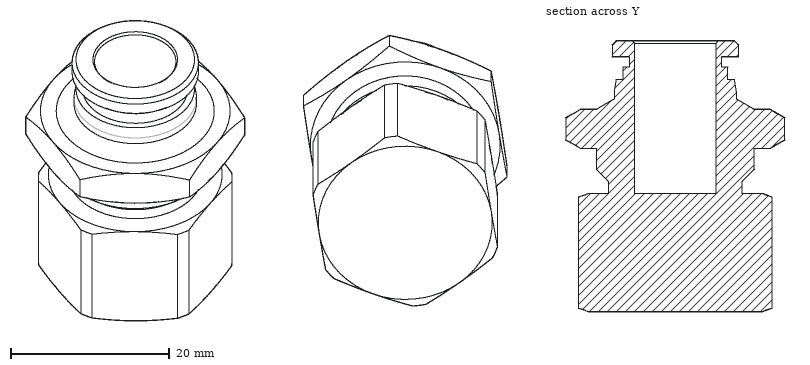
import cadquery as cq
import math

HEX_SIDES = 6

BODY_HEX_FLATS = 22.0
BODY_CORNER_RADIUS = 12.25
BODY_HEX_HEIGHT = 15.0
BODY_CHAMFER_ANGLE = 20.0

NUT_FLATS = 24.0
NUT_THICKNESS = 5.0
NUT_BOTTOM = 20.65
NUT_TOP = NUT_BOTTOM + NUT_THICKNESS
NUT_CHAMFER_ANGLE = 30.0

NECK_RADIUS = 8.5
NECK_TOP = 16.5
BARREL_RADIUS = 10.0
BARREL_CONE_TOP = NECK_TOP + BARREL_RADIUS - NECK_RADIUS
COLLAR_RADIUS = 7.75
COLLAR_BOTTOM = 26.95
COLLAR_STRAIGHT_TOP = 27.9
COLLAR_TIP_RADIUS = 7.5
COLLAR_TOP = 29.4

GUIDE_RADIUS = 6.65
GUIDE_TOP = 31.0
SLEEVE_RADIUS = 5.85
FLANGE_RADIUS = 8.0
FLANGE_BOTTOM = 32.25
FLANGE_CHAMFER = 0.5
TOTAL_HEIGHT = 34.3

BORE_RADIUS = 5.15
BORE_CHAMFER_WIDTH = 0.2
BORE_CHAMFER_DEPTH = 0.35
BORE_BOTTOM = BODY_HEX_HEIGHT


def revolve_profile(points):
    """Revolve a closed (radius, height) outline about the Z axis."""
    return cq.Workplane("XZ").polyline(points).close().revolve(360, (0, 0), (0, 1))


def hexagon_corner_radius(flats):
    """Distance from the centre of a hexagon to its sharp corners."""
    return flats / 2 / math.cos(math.pi / HEX_SIDES)


def chamfered_hexagon(flats, outer_radius, bottom, height, chamfer_angle):
    """Hexagonal prism with corners on the X axis, trimmed by a cylinder with conical ends.

    The cones start at the circle inscribed in the end faces.
    """
    inner_radius = flats / 2
    corner_radius = hexagon_corner_radius(flats)
    drop = (outer_radius - inner_radius) * math.tan(math.radians(chamfer_angle))
    top = bottom + height
    base_plane = cq.Workplane("XY").workplane(offset=bottom)
    prism = base_plane.polygon(HEX_SIDES, 2 * corner_radius).extrude(height)
    envelope = revolve_profile([
        (0, bottom),
        (inner_radius, bottom),
        (outer_radius, bottom + drop),
        (outer_radius, top - drop),
        (inner_radius, top),
        (0, top),
    ])
    return prism.intersect(envelope)


def turned_core():
    """All round surfaces from the hexagon body up to the release sleeve flange."""
    return revolve_profile([
        (0, 0),
        (NECK_RADIUS, 0),
        (NECK_RADIUS, NECK_TOP),
        (BARREL_RADIUS, BARREL_CONE_TOP),
        (BARREL_RADIUS, NUT_TOP),
        (COLLAR_RADIUS, COLLAR_BOTTOM),
        (COLLAR_RADIUS, COLLAR_STRAIGHT_TOP),
        (COLLAR_TIP_RADIUS, COLLAR_TOP),
        (GUIDE_RADIUS, COLLAR_TOP),
        (GUIDE_RADIUS, GUIDE_TOP),
        (SLEEVE_RADIUS, GUIDE_TOP),
        (SLEEVE_RADIUS, FLANGE_BOTTOM),
        (FLANGE_RADIUS, FLANGE_BOTTOM),
        (FLANGE_RADIUS, TOTAL_HEIGHT - FLANGE_CHAMFER),
        (FLANGE_RADIUS - FLANGE_CHAMFER, TOTAL_HEIGHT),
        (0, TOTAL_HEIGHT),
    ])


def tube_socket():
    """Blind bore with a small chamfer at its mouth."""
    return revolve_profile([
        (0, BORE_BOTTOM),
        (BORE_RADIUS, BORE_BOTTOM),
        (BORE_RADIUS, TOTAL_HEIGHT - BORE_CHAMFER_DEPTH),
        (BORE_RADIUS + BORE_CHAMFER_WIDTH, TOTAL_HEIGHT),
        (0, TOTAL_HEIGHT),
    ])


body_hexagon = chamfered_hexagon(
    BODY_HEX_FLATS, BODY_CORNER_RADIUS, 0, BODY_HEX_HEIGHT, BODY_CHAMFER_ANGLE
)

nut_corner_radius = hexagon_corner_radius(NUT_FLATS)
nut = chamfered_hexagon(NUT_FLATS, nut_corner_radius, NUT_BOTTOM, NUT_THICKNESS, NUT_CHAMFER_ANGLE)

result = turned_core().union(body_hexagon).union(nut).cut(tube_socket())